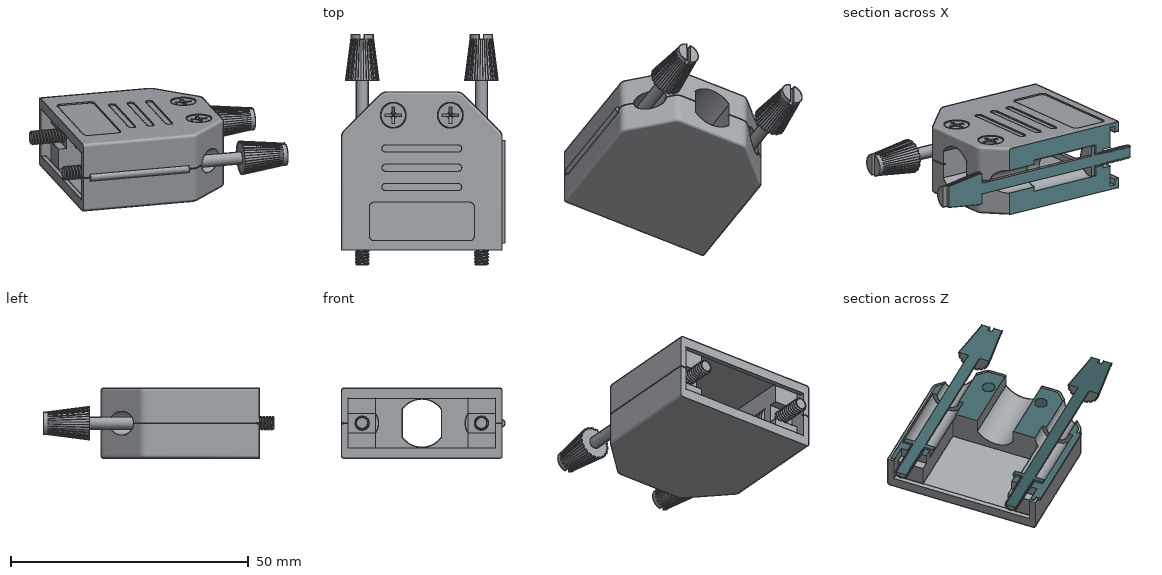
import cadquery as cq
import math

HALF_WIDTH = 16.92
LENGTH = 33.3
HEIGHT = 14.804
TOP_Z = HEIGHT / 2
SHOULDER = 8.72
CORNER_RADIUS = 2.0
EDGE_RADIUS = 0.6
SHOULDER_Y = LENGTH - SHOULDER

OPENING_HALF_WIDTH = 15.5
OPENING_HALF_HEIGHT = 5.2
LIP_DEPTH = 1.0
CAVITY_HALF_HEIGHT = 6.5
FLANGE_DEPTH = 2.15
BLOCK_INNER_X = 9.74
CAVITY_END_Y = 18.0
BLOCK_SLOT_HALF_HEIGHT = 2.06
BLOCK_SLOT_DEPTH = 1.8

CABLE_RADIUS = 5.05
CABLE_HALF_WIDTH = 4.1

SEAM_WIDTH = 0.15
SEAM_DEPTH = 0.5
HINGE_REACH = 0.6
HINGE_RADIUS = 0.8
HINGE_START_Y = 1.5
HINGE_END_Y = 23.1

VENT_LENGTH = 16.8
VENT_WIDTH = 1.5
VENT_PITCH = 4.05
VENT_MIDDLE_Y = 17.35
LABEL_WIDTH = 22.1
LABEL_LENGTH = 8.1
LABEL_START_Y = 2.0
LABEL_CORNER_RADIUS = 1.0
RECESS_DEPTH = 0.3

CLAMP_X = 6.0
CLAMP_Y = 28.4
SINK_RADIUS = 2.72
HEAD_DROP = 0.15
SHANK_RADIUS = 1.25
CLAMP_END_Z = -4.0
CROSS_HALF_LENGTH = 1.73
CROSS_WIDTH = 0.6
CROSS_DEPTH = 1.6
CROSS_CORE_RADIUS = 0.65

THUMB_X = 12.54
TIP_Y = -3.1
THREAD_END_Y = 5.0
THREAD_RADIUS = 1.45
THREAD_ROOT_RADIUS = 1.1
THREAD_PITCH = 0.66
THREAD_GROOVE_WIDTH = 0.6
TIP_CHAMFER = 0.25
ROD_RADIUS = 1.28
KNOB_START_Y = 35.7
CONE_END_Y = 44.4
SCREW_LENGTH = 48.5
KNOB_END_Y = TIP_Y + SCREW_LENGTH
CONE_BASE_RADIUS = 3.55
CONE_TOP_RADIUS = 2.42
RIB_HEIGHT = 0.25
RIB_COUNT = 18
STUD_RADIUS = 2.37
DRIVER_SLOT_WIDTH = 0.85
COLLAR_RADIUS = 3.4
COLLAR_START_Y = 6.2
COLLAR_THICKNESS = 1.0

CLEARANCE = 0.05
SCREW_HOLE_RADIUS = THREAD_RADIUS + CLEARANCE
COLLAR_BORE_RADIUS = COLLAR_RADIUS + CLEARANCE
COLLAR_BORE_START_Y = 5.9
COLLAR_BORE_END_Y = 22.0
ROD_BORE_RADIUS = 2.5


def box(x0, x1, y0, y1, z0, z1):
    """Box between two opposite corners."""
    return cq.Workplane("XY").box(x1 - x0, y1 - y0, z1 - z0, centered=False).translate((x0, y0, z0))


def cylinder_y(x, radius, y0, y1):
    """Cylinder at mid height whose axis runs along Y."""
    return cq.Workplane("XZ", origin=(x, y0, 0)).circle(radius).extrude(y0 - y1)


def hood_prism(bottom_z, height):
    """Hood outline with rounded rear corners, extruded upward."""
    outline = [
        (-HALF_WIDTH, 0),
        (HALF_WIDTH, 0),
        (HALF_WIDTH, SHOULDER_Y),
        (HALF_WIDTH - SHOULDER, LENGTH),
        (SHOULDER - HALF_WIDTH, LENGTH),
        (-HALF_WIDTH, SHOULDER_Y),
    ]
    prism = cq.Workplane("XY", origin=(0, 0, bottom_z)).polyline(outline).close().extrude(height)
    return prism.edges("|Z").edges("not <Y").fillet(CORNER_RADIUS)


def hood_blank():
    """Solid hood, rounded along its top and bottom edges except at the open front."""
    blank = hood_prism(-TOP_Z, HEIGHT)
    return blank.faces("|Z").edges("not <Y").fillet(EDGE_RADIUS)


def connector_cavity():
    opening = box(-OPENING_HALF_WIDTH, OPENING_HALF_WIDTH, 0, LIP_DEPTH,
                  -OPENING_HALF_HEIGHT, OPENING_HALF_HEIGHT)
    flange_room = box(-OPENING_HALF_WIDTH, OPENING_HALF_WIDTH, LIP_DEPTH, FLANGE_DEPTH,
                      -CAVITY_HALF_HEIGHT, CAVITY_HALF_HEIGHT)
    wire_room = box(-BLOCK_INNER_X, BLOCK_INNER_X, LIP_DEPTH, CAVITY_END_Y,
                    -CAVITY_HALF_HEIGHT, CAVITY_HALF_HEIGHT)
    block_slots = box(-OPENING_HALF_WIDTH, OPENING_HALF_WIDTH,
                      FLANGE_DEPTH, FLANGE_DEPTH + BLOCK_SLOT_DEPTH,
                      -BLOCK_SLOT_HALF_HEIGHT, BLOCK_SLOT_HALF_HEIGHT)
    return opening.union(flange_room).union(wire_room).union(block_slots)


def cable_exit():
    """Round hole through the rear wall, flattened on both sides to clear the clamp screws."""
    sides = box(-CABLE_HALF_WIDTH, CABLE_HALF_WIDTH, CAVITY_END_Y, LENGTH, -TOP_Z, TOP_Z)
    return cylinder_y(0, CABLE_RADIUS, CAVITY_END_Y, LENGTH).intersect(sides)


def thumbscrew_passage(x):
    screw_hole = cylinder_y(x, SCREW_HOLE_RADIUS, FLANGE_DEPTH, COLLAR_BORE_START_Y)
    collar_bore = cylinder_y(x, COLLAR_BORE_RADIUS, COLLAR_BORE_START_Y, COLLAR_BORE_END_Y)
    rod_bore = cylinder_y(x, ROD_BORE_RADIUS, COLLAR_BORE_END_Y, LENGTH)
    return screw_hole.union(collar_bore).union(rod_bore)


def clamp_profile(top_radius, top_z):
    """Countersunk screw shape: a 45 degree cone that runs into the shank."""
    cone_end_z = top_z - (top_radius - SHANK_RADIUS)
    outline = [
        (0, CLAMP_END_Z),
        (SHANK_RADIUS, CLAMP_END_Z),
        (SHANK_RADIUS, cone_end_z),
        (top_radius, top_z),
        (0, top_z),
    ]
    return cq.Workplane("XZ").polyline(outline).close().revolve(360, (0, 0), (0, 1))


def top_recesses():
    recess_floor = cq.Workplane("XY", origin=(0, 0, TOP_Z - RECESS_DEPTH))
    vents = (recess_floor.pushPoints([(0, VENT_MIDDLE_Y + i * VENT_PITCH) for i in (-1, 0, 1)])
             .slot2D(VENT_LENGTH, VENT_WIDTH).extrude(RECESS_DEPTH))
    label = (recess_floor.center(0, LABEL_START_Y + LABEL_LENGTH / 2)
             .rect(LABEL_WIDTH, LABEL_LENGTH).extrude(RECESS_DEPTH)
             .edges("|Z").fillet(LABEL_CORNER_RADIUS))
    return vents.union(label)


def seam_groove():
    """Shallow groove at mid height, all round the hood."""
    slab = hood_prism(-SEAM_WIDTH / 2, SEAM_WIDTH)
    core = slab.faces(">Z").wires().toPending().offset2D(-SEAM_DEPTH).extrude(-SEAM_WIDTH, combine=False)
    return slab.cut(core)


def hinge():
    """Round bead that bridges the seam along one side."""
    axis_x = HALF_WIDTH + HINGE_REACH - HINGE_RADIUS
    return cylinder_y(axis_x, HINGE_RADIUS, HINGE_START_Y, HINGE_END_Y)


def make_hood():
    hood = hood_blank().cut(seam_groove()).union(hinge())
    hood = hood.cut(connector_cavity()).cut(cable_exit()).cut(top_recesses())
    for side in (-1, 1):
        hood = hood.cut(thumbscrew_passage(side * THUMB_X))
        hood = hood.cut(clamp_profile(SINK_RADIUS, TOP_Z).translate((side * CLAMP_X, CLAMP_Y, 0)))
    return hood


def cross_recess(top_z):
    """Phillips recess: two crossed wedges and a cone, all running to a point on the axis."""
    wedge = (cq.Workplane("XZ")
             .polyline([(-CROSS_HALF_LENGTH, top_z), (CROSS_HALF_LENGTH, top_z), (0, top_z - CROSS_DEPTH)])
             .close().extrude(CROSS_WIDTH / 2, both=True))
    core = (cq.Workplane("XZ")
            .polyline([(0, top_z - CROSS_DEPTH), (CROSS_CORE_RADIUS, top_z), (0, top_z)])
            .close().revolve(360, (0, 0), (0, 1)))
    return wedge.union(wedge.rotate((0, 0, 0), (0, 0, 1), 90)).union(core)


def make_clamp_screw(x):
    head_top_z = TOP_Z - HEAD_DROP
    screw = clamp_profile(SINK_RADIUS - HEAD_DROP, head_top_z).cut(cross_recess(head_top_z))
    return screw.translate((x, CLAMP_Y, 0))


def ribbed_section(plane, rib_radius):
    """Cross section of the knurled cone: ribs and grooves of equal angle, a rib centred on X."""
    root_radius = rib_radius - RIB_HEIGHT
    quarter_pitch = math.pi / (2 * RIB_COUNT)
    points = []
    for i in range(RIB_COUNT):
        rib_angle = 4 * quarter_pitch * i
        rib_start = rib_angle - quarter_pitch
        rib_end = rib_angle + quarter_pitch
        for radius, angle in (
            (root_radius, rib_start),
            (rib_radius, rib_start),
            (rib_radius, rib_end),
            (root_radius, rib_end),
        ):
            points.append((radius * math.cos(angle), radius * math.sin(angle)))
    return plane.polyline(points).close()


def knob():
    """Knurled cone with a slotted stud on its end, along +Z from the cone base."""
    cone_length = CONE_END_Y - KNOB_START_Y
    knob_length = KNOB_END_Y - KNOB_START_Y
    base = ribbed_section(cq.Workplane("XY"), CONE_BASE_RADIUS)
    cone = ribbed_section(base.workplane(offset=cone_length), CONE_TOP_RADIUS).loft(ruled=True)
    stud = cq.Workplane("XY").circle(STUD_RADIUS).extrude(knob_length)
    half_slot = DRIVER_SLOT_WIDTH / 2
    driver_slot = box(-half_slot, half_slot, -CONE_BASE_RADIUS, CONE_BASE_RADIUS, cone_length, knob_length)
    return cone.union(stud).cut(driver_slot)


def thread_groove():
    """Helical V groove along +Z that starts one pitch below the tip and runs out at the rod."""
    length = THREAD_END_Y - TIP_Y
    half_mouth = THREAD_GROOVE_WIDTH / 2
    mouth_radius = THREAD_RADIUS + CLEARANCE
    helix = cq.Wire.makeHelix(THREAD_PITCH, length + THREAD_PITCH, THREAD_ROOT_RADIUS)
    section = cq.Workplane("XZ").polyline([
        (THREAD_ROOT_RADIUS, 0),
        (mouth_radius, half_mouth),
        (mouth_radius, -half_mouth),
    ]).close()
    return section.sweep(cq.Workplane(obj=helix), isFrenet=True).translate((0, 0, -THREAD_PITCH))


def threaded_end():
    stud = cq.Workplane("XY").circle(THREAD_RADIUS).extrude(THREAD_END_Y - TIP_Y)
    return stud.faces("<Z").chamfer(TIP_CHAMFER).cut(thread_groove())


def make_thumbscrew(x):
    """Built along +Z from the tip, then laid along +Y."""
    rod = (cq.Workplane("XY", origin=(0, 0, THREAD_END_Y - TIP_Y))
           .circle(ROD_RADIUS).extrude(KNOB_START_Y - THREAD_END_Y))
    collar = (cq.Workplane("XY", origin=(0, 0, COLLAR_START_Y - TIP_Y))
              .circle(COLLAR_RADIUS).extrude(COLLAR_THICKNESS))
    screw = threaded_end().union(rod).union(collar).union(knob().translate((0, 0, KNOB_START_Y - TIP_Y)))
    return screw.rotate((0, 0, 0), (1, 0, 0), -90).translate((x, TIP_Y, 0))


hood = make_hood()
clamp_screws = [make_clamp_screw(side * CLAMP_X) for side in (-1, 1)]
thumbscrews = [make_thumbscrew(side * THUMB_X) for side in (-1, 1)]

result = cq.Compound.makeCompound(
    [hood.val()]
    + [screw.val() for screw in clamp_screws]
    + [screw.val() for screw in thumbscrews]
)